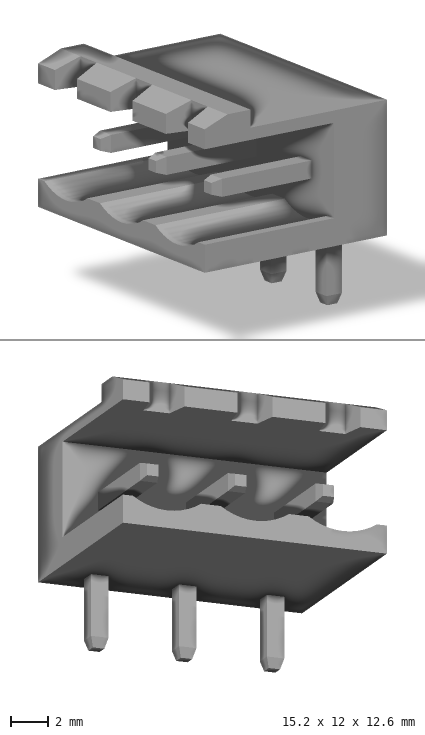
import cadquery as cq

width = 15.24
depth = 12.0
body_height = 7.57
floor_thickness = 1.57
ceiling_height = 6.89
back_wall = 3.47

lip_depth = 3.02
lip_height = 8.58
lip_slope_depth = 1.5
lip_slope_drop = 0.58

position_count = 3
pitch = 5.07
positions = [(i - (position_count - 1) / 2) * pitch for i in range(position_count)]

notch_front_width = 2.03
notch_back_width = 1.5

scallop_width = 3.93
scallop_depth = 0.6

pin_side = 1.0
tip_side = 0.65
tip_length = 0.58
contact_height = 3.8
contact_front_gap = 2.03
tail_inset = 2.0
tail_length = 4.02


def housing():
    """C-shaped side profile extruded across the full width."""
    profile = [
        (0, 0),
        (depth, 0),
        (depth, body_height),
        (lip_depth, body_height),
        (lip_depth, lip_height),
        (lip_slope_depth, lip_height),
        (0, lip_height - lip_slope_drop),
        (0, ceiling_height),
        (depth - back_wall, ceiling_height),
        (depth - back_wall, floor_thickness),
        (0, floor_thickness),
    ]
    return cq.Workplane("YZ").polyline(profile).close().extrude(width / 2, both=True)


def notch(x):
    """Cutter through the lip, narrowing from the front to the top of the slope."""
    outline = [
        (x - notch_front_width / 2, 0),
        (x + notch_front_width / 2, 0),
        (x + notch_back_width / 2, lip_slope_depth),
        (x - notch_back_width / 2, lip_slope_depth),
    ]
    return (
        cq.Workplane("XY", origin=(0, 0, ceiling_height))
        .polyline(outline).close()
        .extrude(lip_height - ceiling_height)
    )


def scallop(x):
    """Arc-shaped trough cutter running from the front to the back wall."""
    return (
        cq.Workplane("XZ")
        .moveTo(x - scallop_width / 2, floor_thickness)
        .threePointArc(
            (x, floor_thickness - scallop_depth),
            (x + scallop_width / 2, floor_thickness),
        )
        .close()
        .extrude(-(depth - back_wall))
    )


def pin(base, direction, length):
    """Square pin of the given overall length, including its tapered tip."""
    start = cq.Plane(origin=base, xDir=(1, 0, 0), normal=direction)
    shank_length = length - tip_length
    shank = cq.Workplane(start).rect(pin_side, pin_side).extrude(shank_length)
    tip = (
        cq.Workplane(start).workplane(offset=shank_length)
        .rect(pin_side, pin_side)
        .workplane(offset=tip_length)
        .rect(tip_side, tip_side)
        .loft(ruled=True)
    )
    return shank.union(tip)


contact_length = depth - back_wall - contact_front_gap

result = housing()
for x in positions:
    result = result.cut(notch(x)).cut(scallop(x))
for x in positions:
    contact = pin((x, depth - back_wall, contact_height), (0, -1, 0), contact_length)
    tail = pin((x, depth - tail_inset, 0), (0, 0, -1), tail_length)
    result = result.union(contact).union(tail)